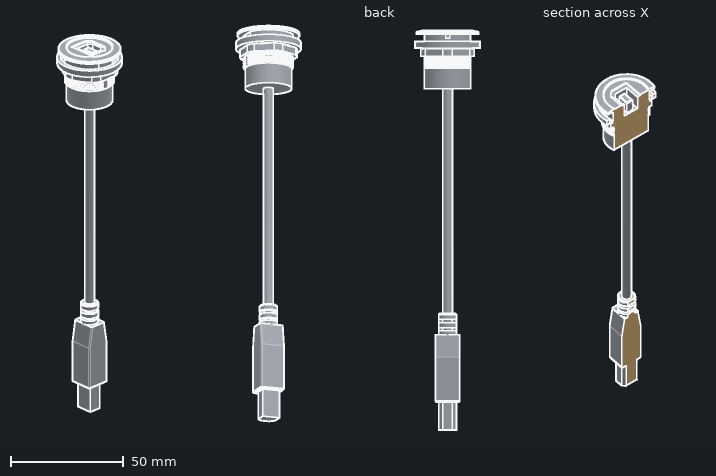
import cadquery as cq
import math

TOTAL_HEIGHT = 177.6

BEZEL_DIA = 27.9
BEZEL_EDGE_DIA = 27.4
BEZEL_THICKNESS = 2.0
BEZEL_SLOPE_DROP = 0.7
BEZEL_EDGE_BREAK = 0.4
FACE_RIM_DIA = 20.8
FACE_DIA = 20.0
FACE_RECESS = 0.5

BARREL_DIA = 22.2
BARREL_ACROSS_FLATS = 20.6
BODY_DIA = 20.8
BODY_END_DEPTH = 26.1
THREAD_START_DEPTH = 11.7
THREAD_PITCH = 1.0
THREAD_TURNS = 5
THREAD_END_DEPTH = THREAD_START_DEPTH + THREAD_PITCH * THREAD_TURNS

KEY_WIDTH = 1.8
KEY_REACH = 12.0
KEY_END_DEPTH = 3.7

WASHER_DIA = 29.0
WASHER_TOP_DEPTH = 5.0
WASHER_BOTTOM_DEPTH = 8.0
WASHER_RECESS_DIA = 25.4
WASHER_RECESS = 2.1
NUT_COLLAR_DIA = 22.5
NUT_TOP_DEPTH = 8.3
NUT_ACROSS_FLATS = 23.8
NUT_CORNER_DIA = 25.4

RIM_WIDTH = 12.8
RIM_LENGTH = 10.7
RIM_OFFSET = 0.4
RIM_BEVEL = 2.1
RIM_RECESS = 0.5
SOCKET_WIDTH = 8.3
SOCKET_LENGTH = 8.0
SOCKET_OFFSET = 0.5
SOCKET_BEVEL = 1.6
SOCKET_DEPTH = 7.1
TONGUE_WIDTH = 5.5
TONGUE_LENGTH = 3.2
TONGUE_OFFSET = 0.4
TONGUE_DROP = 0.7
PIN_GROOVE_DEPTH = 0.5
TONGUE_TOP_WIDTH = 5.0
TONGUE_TOP_LENGTH = 2.7
TONGUE_TOP_OFFSET = 0.5

CABLE_DIA = 4.5
RELIEF_DIA = 8.0
RELIEF_TOP = 51.9
RELIEF_BOTTOM = 40.8
RELIEF_CHAMFER = 0.5
RELIEF_RIB_WIDTH = 1.0
RELIEF_CORE_DIA = 4.5
RELIEF_GROOVES = [(47.6, 49.2), (44.2, 45.5)]

GRIP_WIDTH = 11.0
GRIP_TOP_LENGTH = 7.8
GRIP_TOP = 42.5
GRIP_TAPER_START = 32.7
GRIP_BOTTOM = 12.5
GRIP_EDGE_RADIUS = 0.5
GRIP_BOTTOM_CHAMFER = 0.5
SHELL_WIDTH = 8.0
SHELL_LENGTH = 7.8
SHELL_OFFSET = 0.5
SHELL_BEVEL = 2.0


def disc(diameter, bottom, top):
    """Round solid on the Z axis between two heights."""
    return cq.Workplane("XY").workplane(offset=bottom).circle(diameter / 2).extrude(top - bottom)


def block(width, length, bottom, top, offset_y=0.0):
    """Rectangular solid between two heights, shifted along Y."""
    base = cq.Workplane("XY").workplane(offset=bottom).center(0, offset_y)
    return base.rect(width, length).extrude(top - bottom)


def bevelled_block(width, length, bevel, bottom, top, offset_y):
    """Block with its two +Y vertical corners cut off, the USB-B outline."""
    return block(width, length, bottom, top, offset_y).edges("|Z and >Y").chamfer(bevel)


def height_at(depth):
    """Height of a level given its depth below the top of the bezel."""
    return TOTAL_HEIGHT - depth


def make_bezel():
    """Ring sloping down to its rim, with a cone-walled recess around the socket face."""
    bottom = height_at(BEZEL_THICKNESS)
    slope_end = height_at(BEZEL_SLOPE_DROP)
    outline = [
        (0, bottom),
        (BEZEL_EDGE_DIA / 2, bottom),
        (BEZEL_DIA / 2, bottom + BEZEL_EDGE_BREAK),
        (BEZEL_DIA / 2, slope_end - BEZEL_EDGE_BREAK),
        (BEZEL_EDGE_DIA / 2, slope_end),
        (FACE_RIM_DIA / 2, TOTAL_HEIGHT),
        (FACE_DIA / 2, height_at(FACE_RECESS)),
        (0, height_at(FACE_RECESS)),
    ]
    return cq.Workplane("XZ").polyline(outline).close().revolve(360, (0, 0), (0, 1))


def make_thread():
    """Ring-shaped V ridges from the body diameter out to the barrel diameter."""
    root = BODY_DIA / 2
    crest = BARREL_DIA / 2
    outline = [(0, height_at(THREAD_START_DEPTH)), (root, height_at(THREAD_START_DEPTH))]
    for turn in range(THREAD_TURNS):
        start = THREAD_START_DEPTH + turn * THREAD_PITCH
        outline.append((crest, height_at(start + THREAD_PITCH / 2)))
        outline.append((root, height_at(start + THREAD_PITCH)))
    outline.append((0, height_at(THREAD_END_DEPTH)))
    return cq.Workplane("XZ").polyline(outline).close().revolve(360, (0, 0), (0, 1))


def make_barrel():
    neck = disc(BARREL_DIA, height_at(THREAD_START_DEPTH), height_at(BEZEL_THICKNESS))
    flats = block(
        BARREL_ACROSS_FLATS, BARREL_DIA, height_at(THREAD_END_DEPTH), height_at(BEZEL_THICKNESS)
    )
    body = disc(BODY_DIA, height_at(BODY_END_DEPTH), height_at(THREAD_END_DEPTH))
    key = block(
        KEY_WIDTH, KEY_REACH, height_at(KEY_END_DEPTH), height_at(BEZEL_THICKNESS), KEY_REACH / 2
    )
    return neck.union(make_thread()).intersect(flats).union(body).union(key)


def make_washer_and_nut():
    washer = disc(WASHER_DIA, height_at(WASHER_BOTTOM_DEPTH), height_at(WASHER_TOP_DEPTH))
    recess_floor = height_at(WASHER_TOP_DEPTH + WASHER_RECESS)
    washer = washer.cut(disc(WASHER_RECESS_DIA, recess_floor, height_at(WASHER_TOP_DEPTH)))
    collar = disc(NUT_COLLAR_DIA, height_at(NUT_TOP_DEPTH), height_at(WASHER_BOTTOM_DEPTH))
    nut_bottom = height_at(THREAD_START_DEPTH)
    nut_top = height_at(NUT_TOP_DEPTH)
    across_corners = NUT_ACROSS_FLATS / math.cos(math.radians(30))
    hexagon = cq.Workplane("XY").workplane(offset=nut_bottom).polygon(6, across_corners)
    hexagon = hexagon.extrude(nut_top - nut_bottom).rotate((0, 0, 0), (0, 0, 1), 30)
    nut = hexagon.intersect(disc(NUT_CORNER_DIA, nut_bottom, nut_top))
    return washer.union(collar).union(nut)


def cut_socket(part):
    """Sink the rim and the opening into the face, leaving the contact tongue."""
    rim_floor = height_at(FACE_RECESS + RIM_RECESS)
    socket_floor = rim_floor - SOCKET_DEPTH
    tongue_top = rim_floor - TONGUE_DROP
    shoulder = tongue_top - PIN_GROOVE_DEPTH
    rim = bevelled_block(RIM_WIDTH, RIM_LENGTH, RIM_BEVEL, rim_floor, TOTAL_HEIGHT, RIM_OFFSET)
    opening = bevelled_block(
        SOCKET_WIDTH, SOCKET_LENGTH, SOCKET_BEVEL, socket_floor, TOTAL_HEIGHT, SOCKET_OFFSET
    )
    tongue = block(TONGUE_WIDTH, TONGUE_LENGTH, socket_floor, shoulder, TONGUE_OFFSET)
    tip = block(TONGUE_TOP_WIDTH, TONGUE_TOP_LENGTH, shoulder, tongue_top, TONGUE_TOP_OFFSET)
    return part.cut(rim).cut(opening).union(tongue).union(tip)


def make_strain_relief():
    relief = disc(RELIEF_DIA, RELIEF_BOTTOM, RELIEF_TOP).faces(">Z").chamfer(RELIEF_CHAMFER)
    for bottom, top in RELIEF_GROOVES:
        rib = block(RELIEF_DIA, RELIEF_RIB_WIDTH, bottom, top)
        groove = disc(RELIEF_DIA, bottom, top).cut(disc(RELIEF_CORE_DIA, bottom, top)).cut(rib)
        relief = relief.cut(groove)
    return relief


def make_plug():
    side_outline = [
        (-GRIP_WIDTH / 2, GRIP_BOTTOM),
        (GRIP_WIDTH / 2, GRIP_BOTTOM),
        (GRIP_WIDTH / 2, GRIP_TAPER_START),
        (GRIP_TOP_LENGTH / 2, GRIP_TOP),
        (-GRIP_TOP_LENGTH / 2, GRIP_TOP),
        (-GRIP_WIDTH / 2, GRIP_TAPER_START),
    ]
    grip = cq.Workplane("YZ").polyline(side_outline).close().extrude(GRIP_WIDTH / 2, both=True)
    grip = grip.edges("not(|X or |Y)").fillet(GRIP_EDGE_RADIUS)
    grip = grip.faces("<Z").chamfer(GRIP_BOTTOM_CHAMFER)
    shell = bevelled_block(SHELL_WIDTH, SHELL_LENGTH, SHELL_BEVEL, 0, GRIP_BOTTOM, SHELL_OFFSET)
    return grip.union(shell)


head = cut_socket(make_bezel().union(make_barrel()).union(make_washer_and_nut()))
cable = disc(CABLE_DIA, GRIP_TOP, height_at(BODY_END_DEPTH))
result = head.union(cable).union(make_strain_relief()).union(make_plug())